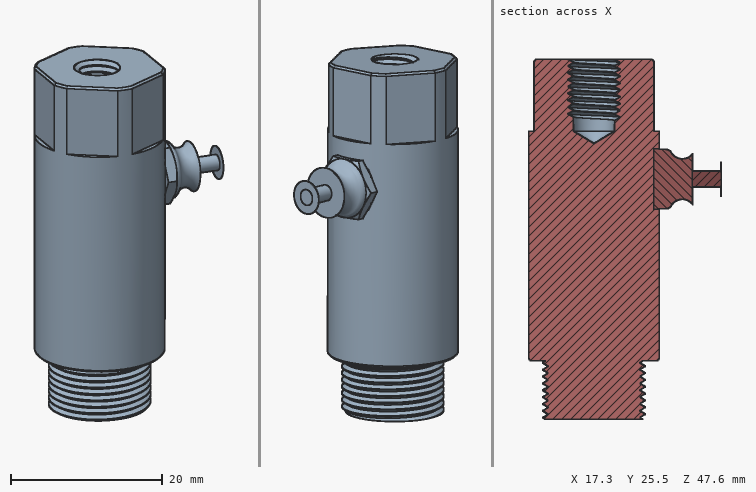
import cadquery as cq
import math

TOTAL_HEIGHT = 47.6
BARREL_DIA = 17.3
SPIGOT_LENGTH = 7.7
WRENCH_FLATS = 15.9
WRENCH_HEIGHT = 9.52
EDGE_CHAMFER = 0.3

PITCH = 0.9
SPIGOT_DIA = 13.52
SPIGOT_GROOVE_DEPTH = 0.65
SPIGOT_GROOVE_WIDTH = 0.8
BORE_DIA = 5.4
BORE_DEPTH = 9.52
DRILL_POINT_ANGLE = 118.0
BORE_GROOVE_DEPTH = 0.75
BORE_GROOVE_WIDTH = 0.8
BORE_THREAD_TURNS = 9
GROOVE_OVERCUT = 0.05

FITTING_Z = 31.75
NUT_FLATS = 7.9
SEAT_Y = WRENCH_FLATS / 2
NUT_END_Y = 9.5
NUT_CHAMFER_ANGLE = 30.0
COLLAR_DIA = 7.9
COLLAR_MID_DIA = 7.7
COLLAR_MID_Y = 9.85
SHOULDER_DIA = 7.15
SHOULDER_Y = 10.2
NECK_DIA = 5.4
NECK_Y = 11.65
LIP_DIA = 6.75
LIP_Y = 13.05

STEM_DIA = 2.15
STEM_END_Y = 25.5 - BARREL_DIA / 2
DISC_DIA = 4.5
DISC_THICKNESS = 0.05


def hexagon_corners(across_flats):
    """Distance between opposite corners of a regular hexagon."""
    return across_flats / math.cos(math.radians(30))


def thread_cutter(surface_radius, depth, width, start_z, turns):
    """Helical V cutter; a positive depth cuts outward and a negative depth cuts inward."""
    outward = math.copysign(1, depth)
    base_radius = surface_radius - outward * GROOVE_OVERCUT
    half_base = width / 2 * (1 + GROOVE_OVERCUT / abs(depth))
    path = cq.Wire.makeHelix(PITCH, turns * PITCH, surface_radius).translate(cq.Vector(0, 0, start_z))
    return (
        cq.Workplane("XZ")
        .polyline([
            (base_radius, start_z - half_base),
            (surface_radius + depth, start_z),
            (base_radius, start_z + half_base),
        ])
        .close()
        .sweep(cq.Workplane(path), isFrenet=True)
    )


def make_barrel():
    length = TOTAL_HEIGHT - SPIGOT_LENGTH
    barrel = (
        cq.Workplane("XY").workplane(offset=SPIGOT_LENGTH)
        .circle(BARREL_DIA / 2).extrude(length)
        .faces("<Z").chamfer(EDGE_CHAMFER)
    )
    wrench_waste = (
        cq.Workplane("XY").workplane(offset=TOTAL_HEIGHT - WRENCH_HEIGHT)
        .circle(BARREL_DIA)
        .polygon(6, hexagon_corners(WRENCH_FLATS))
        .extrude(WRENCH_HEIGHT)
    )
    return barrel.cut(wrench_waste).faces(">Z").chamfer(EDGE_CHAMFER)


def make_spigot():
    """Slice of a longer threaded rod, so that the thread runs out through both ends."""
    spare_length = 2 * PITCH
    turns = math.ceil(SPIGOT_LENGTH / PITCH) + 2
    cutter = thread_cutter(SPIGOT_DIA / 2, -SPIGOT_GROOVE_DEPTH, SPIGOT_GROOVE_WIDTH, -PITCH, turns)
    rod = (
        cq.Workplane("XY").workplane(offset=-spare_length)
        .circle(SPIGOT_DIA / 2).extrude(SPIGOT_LENGTH + 3 * spare_length)
        .cut(cutter)
    )
    slice_block = cq.Workplane("XY").rect(SPIGOT_DIA * 2, SPIGOT_DIA * 2).extrude(SPIGOT_LENGTH)
    return rod.intersect(slice_block)


def cut_threaded_bore(body):
    """Drilled blind bore whose thread groove breaks out through the top face on the -Y side."""
    radius = BORE_DIA / 2
    floor_z = TOTAL_HEIGHT - BORE_DEPTH
    point_z = floor_z - radius / math.tan(math.radians(DRILL_POINT_ANGLE / 2))
    drill_top_z = TOTAL_HEIGHT + 3 * PITCH
    drill = (
        cq.Workplane("XZ")
        .polyline([(0, point_z), (radius, floor_z), (radius, drill_top_z), (0, drill_top_z)])
        .close()
        .revolve(360, (0, 0, 0), (0, 1, 0))
    )
    start_z = TOTAL_HEIGHT - 0.75 * PITCH - (BORE_THREAD_TURNS - 1) * PITCH
    groove = thread_cutter(radius, BORE_GROOVE_DEPTH, BORE_GROOVE_WIDTH, start_z, BORE_THREAD_TURNS + 1)
    return body.cut(drill.union(groove))


def make_nut_prism():
    """Hexagonal prism from the seat outward, with corners on the +X and -X sides."""
    return (
        cq.Workplane("XZ", origin=(0, SEAT_Y, FITTING_Z))
        .polygon(6, hexagon_corners(NUT_FLATS))
        .extrude(-(NUT_END_Y - SEAT_Y))
    )


def make_housing():
    body = cut_threaded_bore(make_barrel()).union(make_spigot())
    return body.cut(make_nut_prism())


def make_fitting():
    """Hexagon nut with a rounded collar, a waisted neck and a flared lip."""
    nut_radius = hexagon_corners(NUT_FLATS) / 2
    collar_radius = COLLAR_DIA / 2
    chamfer_drop = (nut_radius - collar_radius) * math.tan(math.radians(NUT_CHAMFER_ANGLE))
    chamfer_envelope = (
        cq.Workplane("XY")
        .polyline([
            (0, SEAT_Y),
            (nut_radius, SEAT_Y),
            (nut_radius, NUT_END_Y - chamfer_drop),
            (collar_radius, NUT_END_Y),
            (0, NUT_END_Y),
        ])
        .close()
        .revolve(360, (0, 0, 0), (0, 1, 0))
        .translate((0, 0, FITTING_Z))
    )
    flare = (
        cq.Workplane("XY")
        .moveTo(0, SEAT_Y)
        .lineTo(NECK_DIA / 2, SEAT_Y)
        .lineTo(NECK_DIA / 2, NUT_END_Y)
        .lineTo(collar_radius, NUT_END_Y)
        .threePointArc((COLLAR_MID_DIA / 2, COLLAR_MID_Y), (SHOULDER_DIA / 2, SHOULDER_Y))
        .threePointArc((NECK_DIA / 2, NECK_Y), (LIP_DIA / 2, LIP_Y))
        .lineTo(0, LIP_Y)
        .close()
        .revolve(360, (0, 0, 0), (0, 1, 0))
        .translate((0, 0, FITTING_Z))
    )
    return make_nut_prism().intersect(chamfer_envelope).union(flare)


def make_stem():
    """Round stem standing on the lip face, closed by a thin disc."""
    stem = (
        cq.Workplane("XZ", origin=(0, LIP_Y, FITTING_Z))
        .circle(STEM_DIA / 2).extrude(-(STEM_END_Y - LIP_Y))
    )
    disc = (
        cq.Workplane("XZ", origin=(0, STEM_END_Y, FITTING_Z))
        .circle(DISC_DIA / 2).extrude(DISC_THICKNESS)
    )
    return stem.union(disc)


housing = make_housing()
fitting = make_fitting()
stem = make_stem()

result = cq.Compound.makeCompound([housing.solids().val(), fitting.solids().val(), stem.solids().val()])